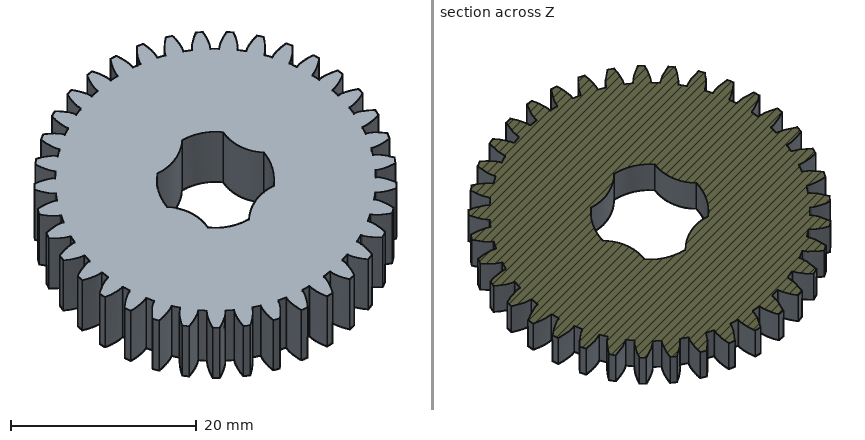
import cadquery as cq
import math

outer_size = 39.0
face_width = 9.4
tooth_count = 37
pressure_angle = math.radians(20)
addendum_ratio = 1.0
dedendum_ratio = 1.25
flank_segments = 5

bore_radius = 6.3
key_count = 4
key_reach = 5.1
key_radius = 5.25


def involute(angle):
    return math.tan(angle) - angle


def polar(radius, angle):
    return (radius * math.cos(angle), radius * math.sin(angle))


pitch_angle = 2 * math.pi / tooth_count
tip_ratio = (tooth_count + 2 * addendum_ratio) / tooth_count
tip_pressure_angle = math.acos(math.cos(pressure_angle) / tip_ratio)
base_half_angle = pitch_angle / 4 + involute(pressure_angle)
tip_half_angle = base_half_angle - involute(tip_pressure_angle)

nearest_tooth_angle = round((math.pi / 2) / pitch_angle) * pitch_angle
tip_corner_offset = abs(math.pi / 2 - nearest_tooth_angle) - tip_half_angle
tip_radius = outer_size / 2 / math.cos(tip_corner_offset)

pitch_radius = tip_radius / tip_ratio
module = 2 * pitch_radius / tooth_count
base_radius = pitch_radius * math.cos(pressure_angle)
root_radius = pitch_radius - dedendum_ratio * module


def flank_points(centre_angle, side):
    """Involute points from base circle to tip; side is -1 or 1 about the tooth centre line."""
    points = []
    for step in range(flank_segments + 1):
        roll = math.tan(tip_pressure_angle) * step / flank_segments
        radius = base_radius * math.hypot(1, roll)
        half_angle = base_half_angle - involute(math.atan(roll))
        points.append(polar(radius, centre_angle + side * half_angle))
    return points


def add_tooth(outline, centre_angle):
    """Continue the outline over one tooth and along the root to the next one."""
    rising = flank_points(centre_angle, -1)
    falling = flank_points(centre_angle, 1)[::-1]
    next_root_angle = centre_angle + pitch_angle - base_half_angle
    return (
        outline.lineTo(*rising[0])
        .spline(rising[1:], includeCurrent=True)
        .threePointArc(polar(tip_radius, centre_angle), falling[0])
        .spline(falling[1:], includeCurrent=True)
        .lineTo(*polar(root_radius, centre_angle + base_half_angle))
        .threePointArc(
            polar(root_radius, centre_angle + pitch_angle / 2),
            polar(root_radius, next_root_angle),
        )
    )


def make_gear_blank():
    outline = cq.Workplane("XY").moveTo(*polar(root_radius, -base_half_angle))
    for tooth in range(tooth_count):
        outline = add_tooth(outline, tooth * pitch_angle)
    return outline.close().extrude(face_width)


def make_bore():
    """Round bore narrowed by convex keys on the X and Y axes."""
    bore = cq.Workplane("XY").circle(bore_radius).extrude(face_width)
    keys = (
        cq.Workplane("XY")
        .polarArray(key_reach + key_radius, 0, 360, key_count)
        .circle(key_radius)
        .extrude(face_width, combine=False)
    )
    return bore.cut(keys)


result = make_gear_blank().cut(make_bore())